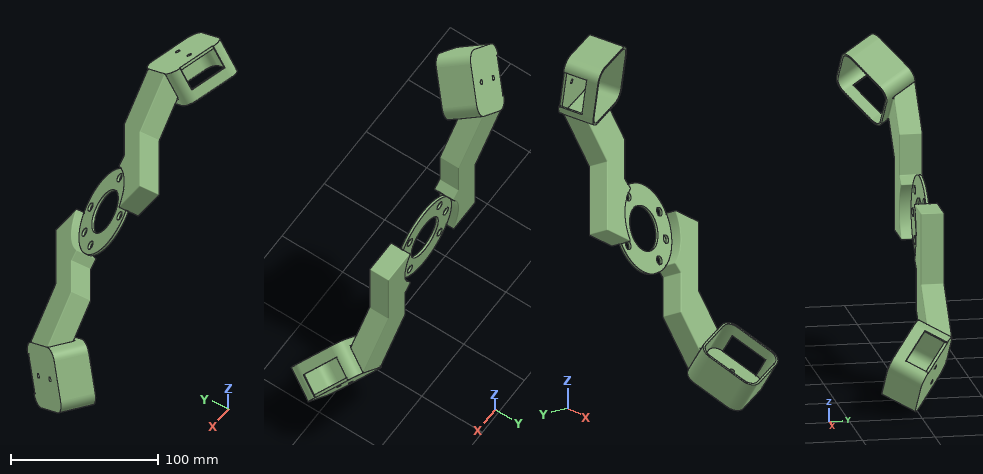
import cadquery as cq
import math

disc_radius = 31.75
disc_thickness = 2.0
bore_diameter = 32.0
bolt_hole_diameter = 6.0
bolt_circle_radius = 25.0
bolt_angles = (0, 45, 135, 180, 225, 315)

arm_depth = 16.0
upright_width = 20.0
upright_end_z = 19.5
neck_height = 24.3
diagonal_width = 30.0
edge_radius = 0.7

cup_size = 46.0
cup_height = 26.0
cup_corner_radius = 9.0
cup_wall = 1.5
cup_floor = 2.0
cup_tilt = math.radians(35)
cup_distance = 101.08
screw_hole_diameter = 3.2
screw_hole_spacing = 20.0
window_height = 17.5

cavity_size = cup_size - 2 * cup_wall
cavity_radius = cup_corner_radius - cup_wall
window_length = cup_size - 2 * cup_corner_radius

floor_direction = cq.Vector(
    math.cos(cup_tilt) / math.sqrt(2), -math.sin(cup_tilt), -math.cos(cup_tilt) / math.sqrt(2)
)
opening_direction = cq.Vector(
    -math.sin(cup_tilt) / math.sqrt(2), -math.cos(cup_tilt), math.sin(cup_tilt) / math.sqrt(2)
)
floor_edge = cq.Vector(cup_distance / math.sqrt(2), arm_depth / 2, -cup_distance / math.sqrt(2))
cup_plane = cq.Plane(
    origin=floor_edge + floor_direction * (cup_size / 2),
    xDir=floor_direction,
    normal=opening_direction,
)


def cylinder_along_y(radius, y_start, length):
    return cq.Workplane("XZ", origin=(0, y_start, 0)).circle(radius).extrude(-length)


def make_disc():
    disc = cylinder_along_y(disc_radius, 0, disc_thickness)
    disc = disc.cut(cylinder_along_y(bore_diameter / 2, 0, disc_thickness))
    for angle in bolt_angles:
        x = bolt_circle_radius * math.cos(math.radians(angle))
        z = bolt_circle_radius * math.sin(math.radians(angle))
        hole = cylinder_along_y(bolt_hole_diameter / 2, 0, disc_thickness)
        disc = disc.cut(hole.translate((x, 0, z)))
    return disc


def make_arm():
    inner_x = disc_radius
    outer_x = inner_x + upright_width
    half_band = diagonal_width / math.sqrt(2)
    end = (cup_distance + cup_wall) / math.sqrt(2)
    half_end = diagonal_width / 2 / math.sqrt(2)
    outline = [
        (0, 0),
        (0, upright_end_z),
        (outer_x, upright_end_z),
        (outer_x, half_band - outer_x),
        (end + half_end, half_end - end),
        (end - half_end, -half_end - end),
        (inner_x, -half_band - inner_x),
        (inner_x, -neck_height),
    ]
    arm = cq.Workplane("XZ", origin=(0, arm_depth / 2, 0)).polyline(outline).close().extrude(arm_depth)
    arm = arm.cut(cylinder_along_y(disc_radius, -arm_depth / 2, arm_depth))
    arm = arm.edges().fillet(edge_radius)
    beyond_joint = cq.Workplane(cup_plane).rect(cup_size, cup_size).extrude(cup_height, both=True)
    return arm.cut(beyond_joint)


def make_joint_fillet():
    joint_distance = cup_distance - arm_depth * math.tan(cup_tilt)
    joint_angle = math.pi / 2 - cup_tilt
    reach = edge_radius / math.tan(joint_angle / 2)
    middle = edge_radius / math.sin(joint_angle / 2) - edge_radius
    joint_plane = cq.Plane(
        origin=(joint_distance / math.sqrt(2), -arm_depth / 2, -joint_distance / math.sqrt(2)),
        xDir=(1, 0, -1),
        normal=(-1, 0, -1),
    )
    section = (
        cq.Workplane(joint_plane)
        .lineTo(-reach, 0)
        .threePointArc(
            (-middle * math.cos(joint_angle / 2), middle * math.sin(joint_angle / 2)),
            (-reach * math.cos(joint_angle), reach * math.sin(joint_angle)),
        )
        .close()
    )
    return section.extrude(window_length / 2, both=True)


def rounded_block(size, height, radius, start):
    block = cq.Workplane(cup_plane).workplane(offset=start).rect(size, size).extrude(height)
    return block.edges(cq.selectors.ParallelDirSelector(opening_direction)).fillet(radius)


def make_arm_with_cup():
    cavity = rounded_block(cavity_size, cup_height, cavity_radius, cup_floor)
    cup = rounded_block(cup_size, cup_height, cup_corner_radius, 0).cut(cavity)
    body = make_arm().union(make_joint_fillet()).union(cup)
    window = (
        cq.Workplane(cup_plane)
        .center(0, cup_size / 2)
        .rect(window_length, 2 * cup_wall)
        .extrude(window_height)
    )
    screw_holes = (
        cq.Workplane(cup_plane)
        .pushPoints([(0, side * screw_hole_spacing / 2) for side in (-1, 1)])
        .circle(screw_hole_diameter / 2)
        .extrude(cup_floor)
    )
    return body.cut(window).cut(screw_holes)


arm_with_cup = make_arm_with_cup()
result = make_disc()
for turn in (0, 180):
    result = result.union(arm_with_cup.rotate((0, 0, 0), (0, 1, 0), turn))